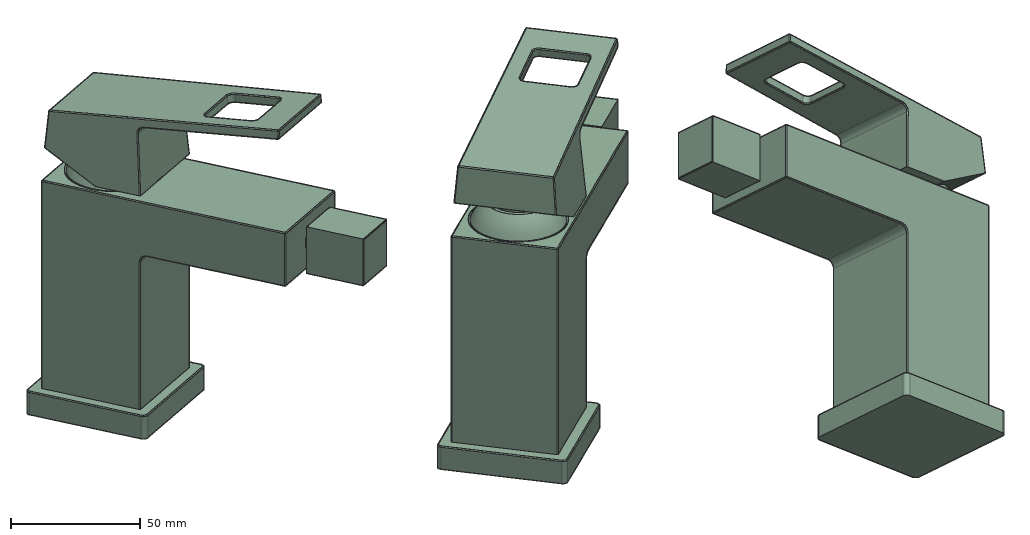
import cadquery as cq
import math

TOTAL_LENGTH = 138.5
TOTAL_HEIGHT = 140.7
EDGE_BREAK = 0.4

BASE_SIDE = 52.0
BASE_HEIGHT = 10.0
BASE_CORNER_RADIUS = 2.0

COLUMN_SIDE = 42.9
BODY_TOP = 99.0
SPOUT_LENGTH = 105.8
SPOUT_HEIGHT = 23.1
SPOUT_CORNER_RADIUS = 3.0
COLUMN_LEFT = -COLUMN_SIDE / 2
COLUMN_RIGHT = COLUMN_SIDE / 2
SPOUT_END = COLUMN_LEFT + SPOUT_LENGTH
SPOUT_BOTTOM = BODY_TOP - SPOUT_HEIGHT

BLOCK_LENGTH = 25.0
BLOCK_SIDE = 20.0
BLOCK_EDGE_BREAK = 0.3
STEM_DIAMETER = 9.0
BLOCK_END = TOTAL_LENGTH - BASE_SIDE / 2
BLOCK_START = BLOCK_END - BLOCK_LENGTH
BLOCK_CENTRE_Z = BODY_TOP - SPOUT_HEIGHT / 2

SEAT_DIAMETER = 38.8
SEAT_DEPTH = 0.3
BALL_CENTRE_X = -0.4
BALL_RADIUS = 20.1
BALL_CENTRE_DEPTH = 7.6
BALL_FLAT_Z = 107.2
NECK_DIAMETER = 21.7

LEVER_BOTTOM = 101.5
LEVER_TAPER = math.radians(4.5)
LEVER_SLOPE = math.radians(7.0)
LEVER_TIP_X = 79.9
LEVER_THICKNESS = 4.0
LEVER_CORNER_RADIUS = 2.8
NOSE_Z = 113.0
NOSE_CUT_X = 2.1

WINDOW_SIDE = 23.0
WINDOW_CORNER_RADIUS = 2.3
WINDOW_CENTRE_X = 55.0

TOLERANCE = 0.01


def make_base():
    base = cq.Workplane("XY").box(BASE_SIDE, BASE_SIDE, BASE_HEIGHT, centered=(True, True, False))
    return base.edges("|Z").fillet(BASE_CORNER_RADIUS).faces(">Z").edges().chamfer(EDGE_BREAK)


def make_body():
    body = (
        cq.Workplane("XZ")
        .moveTo(COLUMN_LEFT, BASE_HEIGHT)
        .lineTo(COLUMN_RIGHT, BASE_HEIGHT)
        .lineTo(COLUMN_RIGHT, SPOUT_BOTTOM - SPOUT_CORNER_RADIUS)
        .radiusArc((COLUMN_RIGHT + SPOUT_CORNER_RADIUS, SPOUT_BOTTOM), SPOUT_CORNER_RADIUS)
        .lineTo(SPOUT_END, SPOUT_BOTTOM)
        .lineTo(SPOUT_END, BODY_TOP)
        .lineTo(COLUMN_LEFT, BODY_TOP)
        .close()
        .extrude(COLUMN_SIDE / 2, both=True)
    )
    body = body.faces("not <Z").edges("not <Z").chamfer(EDGE_BREAK)
    seat = (
        cq.Workplane("XY", origin=(BALL_CENTRE_X, 0, BODY_TOP))
        .circle(SEAT_DIAMETER / 2)
        .extrude(-SEAT_DEPTH)
    )
    return body.cut(seat)


def make_end_block():
    stem = (
        cq.Workplane("YZ", origin=(SPOUT_END, 0, BLOCK_CENTRE_Z))
        .circle(STEM_DIAMETER / 2)
        .extrude(BLOCK_START - SPOUT_END)
    )
    block = (
        cq.Workplane("YZ", origin=(BLOCK_START, 0, BLOCK_CENTRE_Z))
        .rect(BLOCK_SIDE, BLOCK_SIDE)
        .extrude(BLOCK_LENGTH)
        .faces("<X or >X")
        .edges()
        .chamfer(BLOCK_EDGE_BREAK)
    )
    return stem.union(block)


def make_ball():
    floor_z = BODY_TOP - SEAT_DEPTH
    ball_centre = (BALL_CENTRE_X, 0, BODY_TOP - BALL_CENTRE_DEPTH)
    floor_centre = (BALL_CENTRE_X, 0, floor_z)
    ball = cq.Workplane("XY", origin=ball_centre).sphere(BALL_RADIUS)
    slab = cq.Workplane("XY", origin=floor_centre).circle(BALL_RADIUS).extrude(BALL_FLAT_Z - floor_z)
    neck = cq.Workplane("XY", origin=floor_centre).circle(NECK_DIAMETER / 2).extrude(NOSE_Z - floor_z)
    return ball.intersect(slab).union(neck)


def handle_top_z(x):
    """Height of the sloping top; the bevelled tip reaches the total height."""
    return TOTAL_HEIGHT + (x - LEVER_TIP_X + EDGE_BREAK) * math.tan(LEVER_SLOPE)


def wall_offset(z):
    """How far a leaning wall has moved inward at height z."""
    return (z - LEVER_BOTTOM) * math.tan(LEVER_TAPER)


def wall_meets_slope(side, drop):
    """Point (x, z) where the front (-1) or back (+1) wall meets the sloping top lowered by drop."""
    lean = math.tan(LEVER_TAPER)
    rise = side * math.tan(LEVER_SLOPE)
    foot_x = COLUMN_SIDE / 2 + LEVER_BOTTOM * lean
    z = (handle_top_z(0) - drop + rise * foot_x) / (1 + rise * lean)
    return side * (foot_x - z * lean), z


def lies_on_underside(edge):
    """True for the edges that bound the flat bottom or the slanted underside of the head."""
    slant = (NOSE_Z - LEVER_BOTTOM) / (NOSE_CUT_X - COLUMN_LEFT - wall_offset(NOSE_Z))

    def on_underside(point):
        slant_z = LEVER_BOTTOM + max(0, NOSE_CUT_X - point.x) * slant
        return point.z < slant_z + TOLERANCE

    return on_underside(edge.startPoint()) and on_underside(edge.endPoint())


def make_lever():
    drop = LEVER_THICKNESS / math.cos(LEVER_SLOPE)
    inner_corner = wall_meets_slope(1, drop)
    tip_z = handle_top_z(LEVER_TIP_X)
    profile = [
        wall_meets_slope(-1, 0),
        (COLUMN_LEFT + wall_offset(NOSE_Z), NOSE_Z),
        (NOSE_CUT_X, LEVER_BOTTOM),
        (COLUMN_RIGHT, LEVER_BOTTOM),
        inner_corner,
        (LEVER_TIP_X, tip_z - drop),
        (LEVER_TIP_X, tip_z),
    ]
    side_shape = cq.Workplane("XZ").polyline(profile).close().extrude(COLUMN_SIDE, both=True)
    corner_edge = cq.selectors.NearestToPointSelector((inner_corner[0], 0, inner_corner[1]))
    side_shape = side_shape.edges(corner_edge).fillet(LEVER_CORNER_RADIUS)

    half_bottom = COLUMN_SIDE / 2
    ridge_z = TOTAL_HEIGHT + LEVER_THICKNESS
    half_top = half_bottom - wall_offset(ridge_z)
    cross_section = (
        cq.Workplane("YZ", origin=(COLUMN_LEFT, 0, 0))
        .polyline(
            [
                (-half_bottom, LEVER_BOTTOM),
                (half_bottom, LEVER_BOTTOM),
                (half_top, ridge_z),
                (-half_top, ridge_z),
            ]
        )
        .close()
        .extrude(LEVER_TIP_X - COLUMN_LEFT)
    )
    lever = side_shape.intersect(cross_section)
    top_plane = cq.Plane(
        origin=(WINDOW_CENTRE_X, 0, handle_top_z(WINDOW_CENTRE_X)),
        xDir=(math.cos(LEVER_SLOPE), 0, math.sin(LEVER_SLOPE)),
        normal=(-math.sin(LEVER_SLOPE), 0, math.cos(LEVER_SLOPE)),
    )
    window = (
        cq.Workplane(top_plane)
        .rect(WINDOW_SIDE, WINDOW_SIDE)
        .extrude(2 * LEVER_THICKNESS, both=True)
        .edges(cq.selectors.ParallelDirSelector(top_plane.zDir))
        .fillet(WINDOW_CORNER_RADIUS)
    )
    lever = lever.cut(window)
    rims = lever.edges().filter(lambda e: not lies_on_underside(e))
    return rims.chamfer(EDGE_BREAK)


faucet = make_base().union(make_body()).union(make_end_block()).union(make_ball()).union(make_lever())
result = faucet.solids()